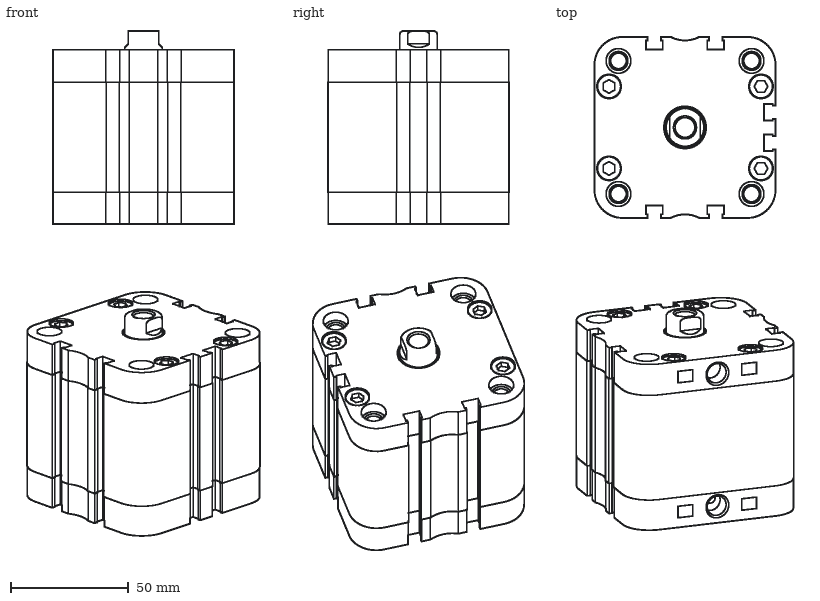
import cadquery as cq
import math


width = 77.0
half_width = width / 2
body_height = 74.0
rod_projection = 8.0
corner_radius = 12.0
lower_cap_height = 13.5
upper_cap_height = 13.8
barrel_height = body_height - lower_cap_height - upper_cap_height
upper_cap_base = body_height - upper_cap_height
cap_clearance = 0.15

slot_offset = 13.0
side_slot_offset = slot_offset / 2
slot_neck_width = 5.6
slot_width = 6.9
slot_lip = 1.7
side_slot_shift = 0.4
slot_depth = 5.3
hollow_half_width = 6.1
hollow_sag = 1.5

mount_pitch = 56.5
mount_counterbore_diameter = 10.5
mount_counterbore_depth = 5.0
mount_mouth_diameter = 8.0
mount_hole_diameter = 6.65
mount_hole_depth = 12.0

screw_x = 32.25
screw_y = 17.4
screw_recess_diameter = 10.3
screw_recess_depth = 0.7
screw_head_diameter = 9.8
screw_socket_size = 5.0
screw_socket_depth = 2.5
left_socket_angle = 30.0
right_socket_angle = 0.0

port_distance = 7.45
port_mouth_diameter = 10.3
port_diameter = 8.57
port_depth = 8.0
feed_diameter = 4.0
feed_rise = 1.0
feed_depth = 4.0
panel_offset = 14.5
panel_distance = 6.9
panel_length = 6.7
panel_height = 5.1
panel_depth = 0.2

bore_diameter = 63.0
rod_diameter = 16.0
rod_end_round = 1.6
rod_flat_size = 13.0
rod_flat_length = 5.5
rod_thread_diameter = 8.38
rod_mouth_diameter = 9.8
rod_thread_depth = 15.0
drill_point_angle = 118.0
wiper_seat_diameter = 18.0
wiper_outer_diameter = 17.7
wiper_lip_diameter = 16.54
wiper_depth = 1.0


def cone(top_diameter, bottom_diameter):
    """45 degree cone frustum hanging down from z = 0."""
    top_radius = top_diameter / 2
    bottom_radius = bottom_diameter / 2
    drop = abs(top_radius - bottom_radius)
    return cq.Workplane(cq.Solid.makeCone(top_radius, bottom_radius, drop, dir=cq.Vector(0, 0, -1)))


def slot_cutter(height, clearance):
    """T-slot for the middle of the +Y face, enlarged all round by the clearance."""
    lip_bottom = half_width - slot_lip - clearance
    floor = half_width - slot_depth - clearance
    neck = cq.Workplane().box(slot_neck_width + 2 * clearance, slot_depth, height, (True, False, False))
    pocket_depth = lip_bottom - floor + 2 * clearance
    pocket = cq.Workplane().box(slot_width + 2 * clearance, pocket_depth, height, (True, False, False))
    return neck.union(pocket).translate((0, floor, 0))


def hollow_cutter(height, face):
    """Shallow cylindrical hollow in the middle of the +Y face."""
    return (
        cq.Workplane()
        .moveTo(-hollow_half_width, face)
        .threePointArc((0, face - hollow_sag), (hollow_half_width, face))
        .lineTo(hollow_half_width, half_width + 1)
        .lineTo(-hollow_half_width, half_width + 1)
        .close()
        .extrude(height)
    )


def profile(height, clearance=0.0):
    """Rounded square prism with slots on the +X, +Y and -Y sides."""
    depth = width - 2 * clearance
    block = cq.Workplane().box(width, depth, height, (True, True, False)).edges("|Z").fillet(corner_radius)
    slot = slot_cutter(height, clearance)
    hollow = hollow_cutter(height, half_width - clearance)
    for turn in (0, 180):
        block = block.cut(hollow.rotate((0, 0, 0), (0, 0, 1), turn))
        for x in (-slot_offset, slot_offset):
            block = block.cut(slot.translate((x, 0, 0)).rotate((0, 0, 0), (0, 0, 1), turn))
    for y in (-side_slot_offset, side_slot_offset):
        block = block.cut(slot.translate((y, side_slot_shift, 0)).rotate((0, 0, 0), (0, 0, 1), -90))
    return block


def port_cutter(z):
    """Blind air port with a chamfered mouth, entering from the -X side."""
    port = cq.Workplane().circle(port_diameter / 2).extrude(-port_depth)
    port = port.union(cone(port_mouth_diameter, port_diameter))
    return port.rotate((0, 0, 0), (0, 1, 0), -90).translate((-half_width, 0, z))


def panel_cutters(z):
    """Two shallow marking panels beside a port."""
    return (
        cq.Workplane("YZ", origin=(-half_width, 0, z))
        .pushPoints([(-panel_offset, 0), (panel_offset, 0)])
        .rect(panel_length, panel_height)
        .extrude(panel_depth)
    )


def mount_cutter():
    """Counterbored mounting hole below z = 0."""
    hole = cq.Workplane().circle(mount_hole_diameter / 2).extrude(-mount_hole_depth)
    mouth = cone(mount_mouth_diameter, mount_hole_diameter).translate((0, 0, -mount_counterbore_depth))
    counterbore = cq.Workplane().circle(mount_counterbore_diameter / 2).extrude(-mount_counterbore_depth)
    return hole.union(mouth).union(counterbore)


def screw_cutter(socket_angle):
    """Recess that leaves a chamfered screw head with a hexagon socket."""
    chamfer = (screw_recess_diameter - screw_head_diameter) / 2
    recess = cq.Workplane().circle(screw_recess_diameter / 2).extrude(-screw_recess_depth - chamfer)
    head = cone(screw_head_diameter, screw_recess_diameter).translate((0, 0, -screw_recess_depth))
    socket = (
        cq.Workplane()
        .polygon(6, screw_socket_size / math.cos(math.pi / 6))
        .extrude(-screw_recess_depth - screw_socket_depth)
        .rotate((0, 0, 0), (0, 0, 1), socket_angle)
    )
    return recess.cut(head).union(socket)


def wiper_cutter():
    """Rod hole through the upper cap, with the wiper seat around it."""
    seat_step = (wiper_seat_diameter - wiper_outer_diameter) / 2
    return (
        cq.Workplane("XZ")
        .moveTo(0, 0)
        .lineTo(wiper_seat_diameter / 2, 0)
        .lineTo(wiper_outer_diameter / 2, -seat_step)
        .lineTo(wiper_outer_diameter / 2, -wiper_depth)
        .lineTo(wiper_lip_diameter / 2, -seat_step)
        .lineTo(rod_diameter / 2, -wiper_depth)
        .lineTo(rod_diameter / 2, -upper_cap_height)
        .lineTo(0, -upper_cap_height)
        .close()
        .revolve()
    )


def make_lower_cap():
    cap = profile(lower_cap_height, cap_clearance)
    cap = cap.cut(port_cutter(port_distance)).cut(panel_cutters(panel_distance))
    feed = (
        cq.Workplane("YZ", origin=(-half_width, 0, port_distance + feed_rise))
        .circle(feed_diameter / 2)
        .extrude(port_depth + feed_depth)
    )
    return cap.cut(feed)


def make_barrel():
    barrel = profile(barrel_height).cut(cq.Workplane().circle(bore_diameter / 2).extrude(barrel_height))
    return barrel.translate((0, 0, lower_cap_height))


def make_upper_cap():
    cap = profile(upper_cap_height, cap_clearance).translate((0, 0, upper_cap_base))
    cap = cap.cut(port_cutter(body_height - port_distance)).cut(panel_cutters(body_height - panel_distance))
    cap = cap.cut(wiper_cutter().translate((0, 0, body_height)))
    for side in (-1, 1):
        for end in (-1, 1):
            mount_place = (side * mount_pitch / 2, end * mount_pitch / 2, body_height)
            cap = cap.cut(mount_cutter().translate(mount_place))
            socket_angle = left_socket_angle if side < 0 else right_socket_angle
            screw_place = (side * screw_x, end * screw_y, body_height)
            cap = cap.cut(screw_cutter(socket_angle).translate(screw_place))
    return cap


def make_rod():
    """Rod from the lower cap up through the upper cap, with spanner flats and a threaded hole."""
    top = body_height + rod_projection
    radius = rod_diameter / 2
    rod = cq.Workplane("XY", origin=(0, 0, lower_cap_height)).circle(radius).extrude(top - lower_cap_height)
    rod = rod.faces(">Z").edges().fillet(rod_end_round)

    flat_x = rod_flat_size / 2
    flat_base = top - rod_flat_length
    run_out = radius - flat_x
    flat = (
        cq.Workplane("XZ")
        .moveTo(flat_x, top)
        .lineTo(flat_x, flat_base)
        .lineTo(radius, flat_base - run_out)
        .lineTo(radius, top)
        .close()
        .extrude(radius, both=True)
    )
    rod = rod.cut(flat).cut(flat.mirror("YZ"))

    point_depth = rod_thread_diameter / 2 / math.tan(math.radians(drill_point_angle / 2))
    mouth_depth = (rod_mouth_diameter - rod_thread_diameter) / 2
    thread_hole = (
        cq.Workplane("XZ", origin=(0, 0, top))
        .lineTo(rod_mouth_diameter / 2, 0)
        .lineTo(rod_thread_diameter / 2, -mouth_depth)
        .lineTo(rod_thread_diameter / 2, -rod_thread_depth)
        .lineTo(0, -rod_thread_depth - point_depth)
        .close()
        .revolve()
    )
    return rod.cut(thread_hole)


lower_cap = make_lower_cap()
barrel = make_barrel()
upper_cap = make_upper_cap()
rod = make_rod()

result = cq.Compound.makeCompound([lower_cap.val(), barrel.val(), upper_cap.val(), rod.val()])